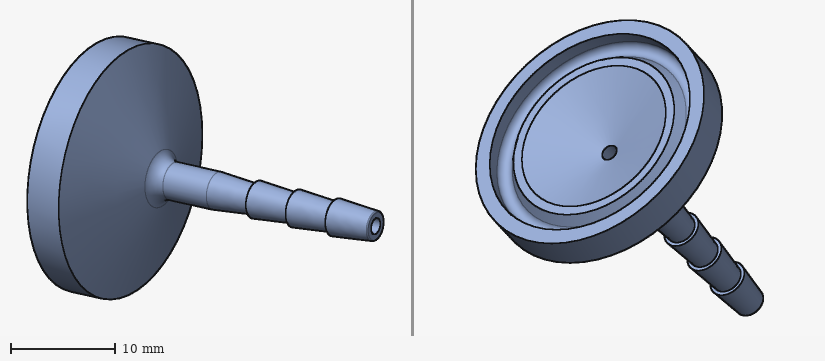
import cadquery as cq
import math

total_length = 31.75
flange_diameter = 25.0
rim_length = 3.62

cone_angle = 70.0
stem_diameter = 3.75
stem_fillet = 1.5

barb_count = 4
barbs_start = 13.53
barb_small_diameter = 3.0
tip_fillet = 0.13

groove_diameter = 21.9
groove_wall_depth = 1.35
groove_radius = 0.8
ring_depth = 0.8
ring_outer_diameter = 17.6
ring_inner_diameter = 15.75
flank_angle = 36.0
funnel_end = 3.87
bore_diameter = 1.6


def arc_point(center_x, center_r, radius, degrees):
    """Point on a circle in the X-radius plane."""
    angle = math.radians(degrees)
    return center_x + radius * math.cos(angle), center_r + radius * math.sin(angle)


flange_r = flange_diameter / 2
stem_r = stem_diameter / 2
barb_small_r = barb_small_diameter / 2
groove_r = groove_diameter / 2
bore_r = bore_diameter / 2
barb_length = (total_length - barbs_start) / barb_count

groove_center = (groove_wall_depth, groove_r - groove_radius)
flank_normal = flank_angle - 90
groove_bottom = arc_point(*groove_center, groove_radius, 0)
groove_flank = arc_point(*groove_center, groove_radius, flank_normal)

cone_radians = math.radians(cone_angle)
cone_end_r = stem_r + stem_fillet * (1 - math.cos(cone_radians))
cone_length = (flange_r - cone_end_r) / math.tan(cone_radians)
fillet_end = rim_length + cone_length + stem_fillet * math.sin(cone_radians)
fillet_center = (fillet_end, stem_r + stem_fillet)
cone_end = arc_point(*fillet_center, stem_fillet, -90 - cone_angle)
fillet_middle = arc_point(*fillet_center, stem_fillet, -90 - cone_angle / 2)

tip_center = (total_length - tip_fillet, barb_small_r - tip_fillet)
tip_middle = arc_point(*tip_center, tip_fillet, 45)

profile = (
    cq.Workplane("XY")
    .moveTo(funnel_end, bore_r)
    .lineTo(ring_depth, ring_inner_diameter / 2)
    .lineTo(ring_depth, ring_outer_diameter / 2)
    .lineTo(*groove_flank)
    .threePointArc(groove_bottom, (groove_wall_depth, groove_r))
    .lineTo(0, groove_r)
    .lineTo(0, flange_r)
    .lineTo(rim_length, flange_r)
    .lineTo(*cone_end)
    .threePointArc(fillet_middle, (fillet_end, stem_r))
    .lineTo(barbs_start, stem_r)
)

for barb in range(1, barb_count):
    barb_end = barbs_start + barb * barb_length
    profile = profile.lineTo(barb_end, barb_small_r).lineTo(barb_end, stem_r)

profile = (
    profile.lineTo(total_length - tip_fillet, barb_small_r)
    .threePointArc(tip_middle, (total_length, barb_small_r - tip_fillet))
    .lineTo(total_length, bore_r)
    .close()
)

result = profile.revolve(360, (0, 0, 0), (1, 0, 0))